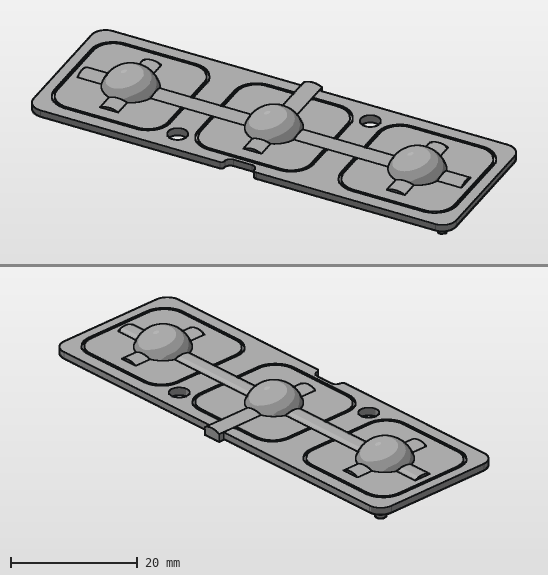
import cadquery as cq
import math

LENGTH = 75
WIDTH = 25.05
THICKNESS = 1.4
CORNER_RADIUS = 2.5
BOTTOM_CHAMFER = 0.2

PITCH = 25.4
STATIONS = [-PITCH, 0, PITCH]
DOME_RADIUS = 4.65
DOME_HEIGHT = 3.45
FRAME_SIZE = 20.55
FRAME_RADIUS = 4.0
GROOVE_WIDTH = 0.45
GROOVE_DEPTH = 0.3

RUNNER_WIDTH = 3.2
RUNNER_HEIGHT = 0.45
CROSS_REACH = 7.5
END_REACH = 8.6

TAB_WIDTH = RUNNER_WIDTH
TAB_REACH = 1.0
TAB_END = WIDTH / 2 + TAB_REACH

HOLE_DIAMETER = 3.3
HOLE_X = PITCH / 2
HOLE_Y = 8.55

NOTCH_FLAT = 3.3
NOTCH_INNER_RADIUS = 1.0
NOTCH_MOUTH_RADIUS = 0.6

PEG_LENGTH = 1.5
PEG_DIAMETER = 1.95
PEG_CHAMFER = 0.2
PEG_X = LENGTH / 2 - CORNER_RADIUS
PEG_Y = WIDTH / 2 - CORNER_RADIUS
DIAMOND_HALF_WIDTH = 0.8
DIAMOND_HALF_LENGTH = 1.2


def make_notch():
    """Notch cutter; each side is an S of two quarter arcs, so it has no straight part."""
    flat = NOTCH_FLAT / 2
    side = flat + NOTCH_INNER_RADIUS
    mouth = side + NOTCH_MOUTH_RADIUS
    edge = -WIDTH / 2
    bend = edge + NOTCH_MOUTH_RADIUS
    bottom = bend + NOTCH_INNER_RADIUS
    return (
        cq.Workplane("XY")
        .moveTo(-mouth, edge)
        .radiusArc((-side, bend), -NOTCH_MOUTH_RADIUS)
        .radiusArc((-flat, bottom), NOTCH_INNER_RADIUS)
        .lineTo(flat, bottom)
        .radiusArc((side, bend), NOTCH_INNER_RADIUS)
        .radiusArc((mouth, edge), -NOTCH_MOUTH_RADIUS)
        .close()
        .extrude(THICKNESS)
    )


def make_plate():
    plate = cq.Workplane("XY").box(LENGTH, WIDTH, THICKNESS, centered=(True, True, False))
    plate = plate.edges("|Z").fillet(CORNER_RADIUS)
    plate = plate.cut(make_notch())
    return plate.faces("<Z").edges().chamfer(BOTTOM_CHAMFER)


def make_holes():
    centers = [(-HOLE_X, -HOLE_Y), (HOLE_X, HOLE_Y)]
    return cq.Workplane("XY").pushPoints(centers).circle(HOLE_DIAMETER / 2).extrude(THICKNESS)


def make_frame_block(size, radius):
    floor = THICKNESS - GROOVE_DEPTH
    block = cq.Workplane("XY", origin=(0, 0, floor)).rect(size, size).extrude(GROOVE_DEPTH)
    return block.edges("|Z").fillet(radius)


def make_groove():
    outer = make_frame_block(FRAME_SIZE, FRAME_RADIUS)
    inner = make_frame_block(FRAME_SIZE - 2 * GROOVE_WIDTH, FRAME_RADIUS - GROOVE_WIDTH)
    return outer.cut(inner)


def make_dome():
    """Spherical cap standing on the plate."""
    sphere_radius = (DOME_RADIUS**2 + DOME_HEIGHT**2) / (2 * DOME_HEIGHT)
    return (
        cq.Workplane("XZ")
        .moveTo(0, THICKNESS)
        .lineTo(DOME_RADIUS, THICKNESS)
        .radiusArc((0, THICKNESS + DOME_HEIGHT), -sphere_radius)
        .close()
        .revolve(360, (0, 0, 0), (0, 1, 0))
    )


def make_runner(plane, start, end):
    """Runner along X (plane "YZ") or along -Y (plane "XZ"), sunk to the groove floor."""
    half = RUNNER_WIDTH / 2
    floor = THICKNESS - GROOVE_DEPTH
    return (
        cq.Workplane(plane)
        .workplane(offset=start)
        .moveTo(-half, floor)
        .lineTo(-half, THICKNESS)
        .threePointArc((0, THICKNESS + RUNNER_HEIGHT), (half, THICKNESS))
        .lineTo(half, floor)
        .close()
        .extrude(end - start)
    )


def make_tab():
    tab = cq.Workplane("XY").box(TAB_WIDTH, 2 * TAB_REACH, THICKNESS, centered=(True, True, False))
    return tab.translate((0, WIDTH / 2, 0))


def make_round_peg():
    peg = cq.Workplane("XY").circle(PEG_DIAMETER / 2).extrude(-PEG_LENGTH)
    return peg.faces("<Z").chamfer(PEG_CHAMFER)


def make_diamond_peg():
    """Round peg relieved to a diamond, with its long axis square to the line between the pegs."""
    corners = [
        (DIAMOND_HALF_WIDTH, 0),
        (0, DIAMOND_HALF_LENGTH),
        (-DIAMOND_HALF_WIDTH, 0),
        (0, -DIAMOND_HALF_LENGTH),
    ]
    diamond = cq.Workplane("XY").polyline(corners).close().extrude(-PEG_LENGTH)
    angle = -math.degrees(math.atan2(PEG_Y, PEG_X))
    return make_round_peg().intersect(diamond).rotate((0, 0, 0), (0, 0, 1), angle)


result = make_plate().cut(make_holes())
for x in STATIONS:
    result = result.cut(make_groove().translate((x, 0, 0)))

result = result.union(make_tab())
result = result.union(make_runner("YZ", -PITCH - END_REACH, PITCH + END_REACH))
for x in STATIONS:
    far_end = TAB_END if x == 0 else CROSS_REACH
    result = result.union(make_runner("XZ", -far_end, CROSS_REACH).translate((x, 0, 0)))
    result = result.union(make_dome().translate((x, 0, 0)))

result = result.union(make_round_peg().translate((-PEG_X, PEG_Y, 0)))
result = result.union(make_diamond_peg().translate((PEG_X, -PEG_Y, 0)))